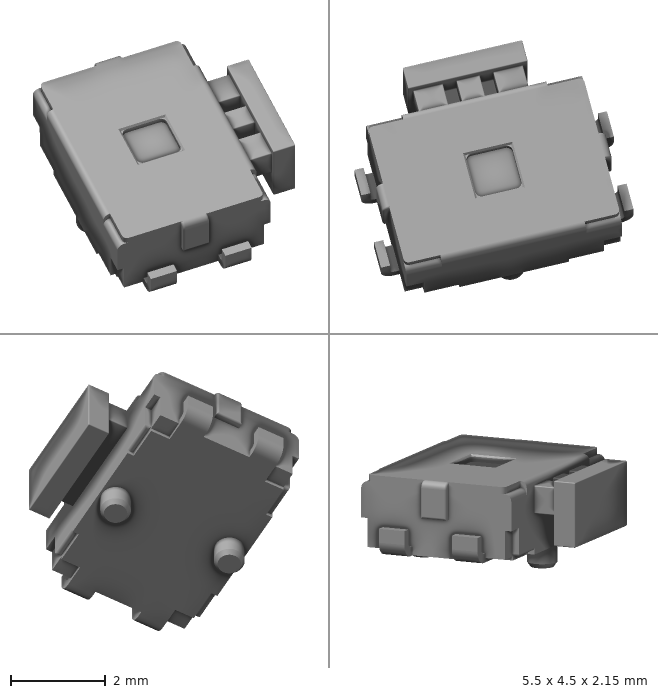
import cadquery as cq

body_width = 4.695
body_depth = 3.5
body_top = 1.65
side_clearance = 0.09
base_width = 3.895

sheet = 0.15
core_depth = body_depth - 2 * sheet
cover_corner_radius = 0.105
skirt_width = 3.145
skirt_foot_width = 3.915
skirt_foot_top = 0.715
skirt_edge_fillet = 0.065
panel_width = 2.385
panel_height = 1.035

window_width = 1.0
window_corner_radius = 0.13
window_rim = 0.04

tab_width = 0.6
tab_bottom = 0.84
tab_edge_fillet = 0.05

overall_width = 5.5
lead_width = 0.6
lead_y = 0.85
lead_thickness = 0.2
lead_height = 0.595
lead_inner_radius = 0.1

pin_diameter = 0.65
pin_length = 0.5
pin_y = 1.375
pin_tip_height = 0.105
pin_tip_inset = 0.075

knob_width = 2.6
knob_back = 2.75
knob_thickness = 0.5
knob_height = 1.4
knob_edge_fillet = 0.02
stem_width = 2.385
stem_bottom = 0.885
stem_height = 0.6
stem_groove_x = 0.4
stem_groove_width = 0.295
stem_groove_depth = 0.395
stem_edge_fillet = 0.02
stem_root_fillet = 0.02


def block(width, depth, bottom, top, x=0, y=0):
    """Box centred on (x, y) between two heights."""
    return cq.Workplane("XY").box(width, depth, top - bottom, (True, True, False)).translate((x, y, bottom))


def make_housing():
    under_cover = body_top - sheet
    upper = block(body_width, body_depth, skirt_foot_top, under_cover)
    upper = upper.edges("|X and >Z").fillet(sheet)
    lower = block(body_width, core_depth, side_clearance, under_cover)
    base = block(base_width, core_depth, 0, under_cover)
    bridge = block(body_width, 2 * lead_y - lead_width, 0, under_cover)
    return upper.union(lower).union(base).union(bridge)


def make_cover():
    plate = block(body_width, core_depth, body_top - sheet, body_top)
    plate = plate.edges("|Z").fillet(cover_corner_radius)
    skirts = block(skirt_width, body_depth, skirt_foot_top, body_top)
    skirts = skirts.edges("|X and >Z").fillet(sheet)
    cover = plate.union(skirts)
    for side in (-1, 1):
        foot_y = side * (body_depth - sheet) / 2
        foot = block(skirt_foot_width, sheet, side_clearance, skirt_foot_top, y=foot_y)
        foot = foot.faces("<Z").edges().fillet(skirt_edge_fillet)
        panel = block(panel_width, sheet, 0, panel_height, y=foot_y)
        cover = cover.union(foot).union(panel)
    return cover


def cut_window(part):
    opening = block(window_width, window_width, body_top - sheet, body_top)
    opening = opening.edges("|Z").fillet(window_corner_radius)
    rim_width = window_width + 2 * window_rim
    rim = (
        cq.Workplane("XY", origin=(0, 0, body_top - window_rim))
        .rect(window_width, window_width)
        .workplane(offset=window_rim)
        .rect(rim_width, rim_width)
        .loft(ruled=True)
    )
    return part.cut(opening).cut(rim)


def make_tabs():
    tab_span = body_width + 2 * sheet
    tabs = block(tab_span, tab_width, tab_bottom, body_top)
    tabs = tabs.edges("|Y and >Z").fillet(sheet)
    return tabs.faces("<X or >X").edges().fillet(tab_edge_fillet)


def make_lead(y):
    """J-shaped lead on the +X side: flat foot, bend and upright end."""
    outer_radius = lead_inner_radius + lead_thickness
    root_x = base_width / 2
    tip_x = overall_width / 2
    profile = (
        cq.Workplane("XZ", origin=(0, y + lead_width / 2, 0))
        .moveTo(root_x, 0)
        .lineTo(tip_x - outer_radius, 0)
        .radiusArc((tip_x, outer_radius), -outer_radius)
        .lineTo(tip_x, lead_height)
        .lineTo(tip_x - lead_thickness, lead_height)
        .lineTo(tip_x - lead_thickness, outer_radius)
        .radiusArc((tip_x - outer_radius, lead_thickness), lead_inner_radius)
        .lineTo(root_x, lead_thickness)
        .close()
    )
    return profile.extrude(lead_width)


def make_pin(y):
    radius = pin_diameter / 2
    pin = cq.Workplane("XY", origin=(0, y, -pin_length)).circle(radius).extrude(pin_length)
    return pin.faces("<Z").chamfer(pin_tip_height, pin_tip_inset)


def make_knob():
    plate = block(
        knob_width, knob_thickness, body_top - knob_height, body_top, y=knob_back - knob_thickness / 2
    )
    plate = plate.edges().fillet(knob_edge_fillet)
    stem_front = core_depth / 2
    stem_length = knob_back - knob_thickness / 2 - stem_front
    stem_y = stem_front + stem_length / 2
    stem_top = stem_bottom + stem_height
    stem = block(stem_width, stem_length, stem_bottom, stem_top, y=stem_y)
    for side in (-1, 1):
        groove_floor = stem_top - stem_groove_depth
        stem = stem.cut(
            block(stem_groove_width, stem_length, groove_floor, stem_top, x=side * stem_groove_x, y=stem_y)
        )
    stem = stem.edges("|Y").fillet(stem_edge_fillet)
    knob = plate.union(stem)
    knob_face_y = knob_back - knob_thickness
    margin = stem_root_fillet / 4
    root = cq.selectors.BoxSelector(
        (-stem_width / 2 - margin, knob_face_y - margin, stem_bottom - margin),
        (stem_width / 2 + margin, knob_face_y + margin, stem_top + margin),
        boundingbox=True,
    )
    return knob.edges(root).fillet(stem_root_fillet)


result = make_housing().union(make_cover())
result = cut_window(result.union(make_tabs()))
for y in (-lead_y, lead_y):
    lead = make_lead(y)
    result = result.union(lead).union(lead.mirror("YZ"))
for y in (-pin_y, pin_y):
    result = result.union(make_pin(y))
result = result.union(make_knob())